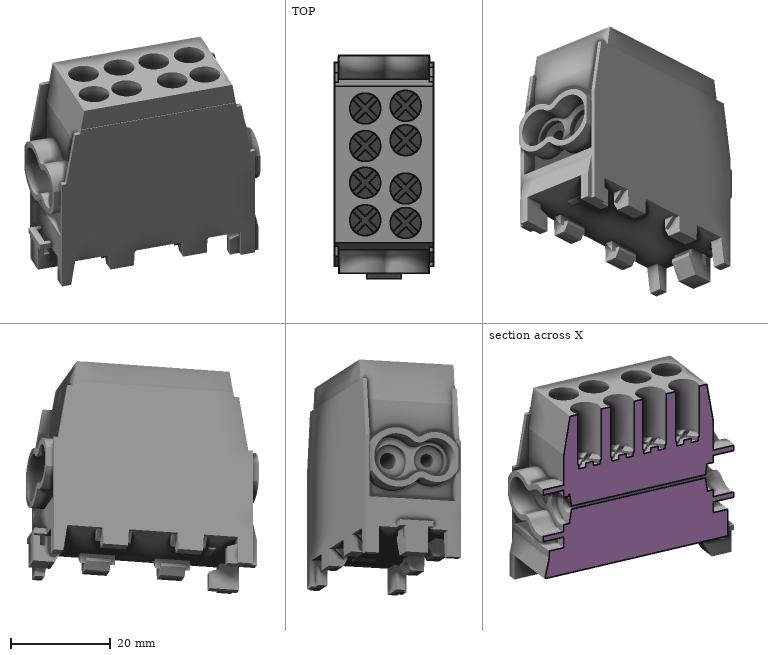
import cadquery as cq

width = 20.0
length = 41.05
half_width = width / 2
half_length = length / 2
height = 40.3
underside_z = 5.4

cap_half_width = 9.9
cap_top_half_length = 15.75
core_half_length = 17.15
core_shoulder_z = 32.0
cap_taper = (core_half_length - cap_top_half_length) / (height - core_shoulder_z)

recess_half_width = 9.1
recess_floor_z = 11.4
wall_top_z = 36.0
wall_top_half_length = 18.47
left_wall_inner_x = 9.15
left_wall_knee_z = 24.1
right_wall_knee_z = 23.9
right_wall_step_z = 35.05
right_wall_ledge = 0.95
right_wall_top_half_length = 17.65

collar_end = 21.95
collar_wall = 1.2
collar_blend = 1.1
large_x = -3.78
small_x = 4.35
large_collar_z = 19.5
small_collar_z = 19.95
large_collar_radius = 6.05
small_collar_radius = 5.12
large_bore_z = 19.85
small_bore_z = 20.4
large_bore_diameter = 3.35
small_bore_diameter = 2.75
large_cone_radius = 3.33
small_cone_radius = 2.95
large_mouth_radius = 3.4
small_mouth_radius = 3.25
large_mouth_z = 19.5
small_mouth_z = 20.05
mouth_end = 15.8
cone_depth = 0.35

well_radius = 3.1
well_depth = 11.25
well_columns = {
    large_x: (3.7, 11.25),
    small_x: (4.85, 11.78),
}
screw_slot_width = 1.1
screw_slot_depth = 0.9

foot_inner_x = 7.25
front_foot_root = 17.7
front_foot_tip = 18.55
rear_foot_inner = 17.5
flare_half_width = 9.15
flare_end = 21.55
flare_top_z = 9.75
hook_inner = 15.45
hook_outer_z = 4.23
hook_inner_z = 3.55

tooth_y = 7.75
tooth_root_half = 2.7
tooth_tip_half = 2.5
tooth_tip_z = 2.0
left_tooth_inner_x = 7.0
right_tooth_inner_x = 7.35
barb_reach = 0.95
barb_top_z = 4.23
barb_nose_z = 3.6
gusset_half = 3.6
gusset_z = 3.33

tongue_half_width = 2.3
tongue_end = 23.0
tongue_root = 17.35
tongue_hook = 16.6
tongue_hook_top_z = 4.23
tongue_hook_nose_z = 3.5
tongue_gap_end = 21.65
tongue_gap_z = 3.33
handle_half_width = 3.5
handle_top_z = 6.55
handle_arm = 1.0

bump_radius = 1.35
bump_y = 13.85
bump_z = 6.3


def box(x0, x1, y0, y1, z0, z1):
    return cq.Workplane("XY").box(x1 - x0, y1 - y0, z1 - z0, centered=False).translate((x0, y0, z0))


def side_profile(points, x0, x1):
    """Extrude a (y, z) outline from x0 to x1."""
    return cq.Workplane("YZ", origin=(x0, 0, 0)).polyline(points).close().extrude(x1 - x0)


def front_profile(points, y0, y1):
    """Extrude an (x, z) outline from y0 to y1."""
    return cq.Workplane("XZ", origin=(0, y0, 0)).polyline(points).close().extrude(y0 - y1)


def symmetric(points):
    """Complete a half outline with its mirror image across y = 0."""
    return points + [(-y, z) for y, z in reversed(points)]


def rod(x, z, radius, y0, y1):
    return cq.Workplane("XZ", origin=(x, y0, z)).circle(radius).extrude(y0 - y1)


def both_sides(shape):
    return shape.union(shape.mirror("YZ"))


def make_body():
    core = side_profile(
        symmetric([
            (core_half_length, underside_z),
            (core_half_length, core_shoulder_z),
            (cap_top_half_length, height),
        ]),
        -cap_half_width,
        cap_half_width,
    )
    base = box(-half_width, half_width, -half_length, half_length, underside_z, recess_floor_z)
    left_wall = side_profile(
        symmetric([
            (half_length, underside_z),
            (half_length, left_wall_knee_z),
            (wall_top_half_length, wall_top_z),
        ]),
        -half_width,
        -left_wall_inner_x,
    )
    right_wall = side_profile(
        symmetric([
            (half_length, underside_z),
            (half_length, right_wall_knee_z),
            (half_length - right_wall_ledge, right_wall_knee_z),
            (right_wall_top_half_length, right_wall_step_z),
            (cap_top_half_length + cap_taper * (height - right_wall_step_z), right_wall_step_z),
            (cap_top_half_length + cap_taper * (height - wall_top_z), wall_top_z),
        ]),
        recess_half_width,
        half_width,
    )
    return core.union(base).union(left_wall).union(right_wall)


def double_cylinder(inset, y0, y1):
    """Two joined cylinders along Y, with the creases between them rounded."""
    large = rod(large_x, large_collar_z, large_collar_radius - inset, y0, y1)
    small = rod(small_x, small_collar_z, small_collar_radius - inset, y0, y1)
    creases = cq.selectors.BoxSelector((large_x, y0, 0), (small_x, y1, height))
    return large.union(small).edges("|Y").edges(creases).fillet(collar_blend + inset)


def make_collars():
    sleeve = double_cylinder(0, -collar_end, collar_end)
    limits = box(-recess_half_width, recess_half_width, -collar_end, collar_end, recess_floor_z, height)
    return sleeve.intersect(limits)


def cut_bore(body, x, bore_z, bore_diameter, cone_radius, mouth_z, mouth_radius):
    """Cut a through bore with a shallow cone and a wide mouth at both ends."""
    bore_radius = bore_diameter / 2
    body = body.cut(rod(x, bore_z, bore_radius, -collar_end, collar_end))
    for side in (-1, 1):
        body = body.cut(rod(x, mouth_z, mouth_radius, side * mouth_end, side * collar_end))
        cone = cq.Solid.makeCone(
            cone_radius,
            bore_radius,
            cone_depth,
            cq.Vector(x, side * mouth_end, bore_z),
            cq.Vector(0, -side, 0),
        )
        body = body.cut(cq.Workplane(cone))
    return body


def cut_inlets(body):
    for y0, y1 in ((-collar_end, -core_half_length), (core_half_length, collar_end)):
        body = body.cut(double_cylinder(collar_wall, y0, y1))
    body = cut_bore(
        body, large_x, large_bore_z, large_bore_diameter, large_cone_radius, large_mouth_z, large_mouth_radius
    )
    return cut_bore(
        body, small_x, small_bore_z, small_bore_diameter, small_cone_radius, small_mouth_z, small_mouth_radius
    )


def cut_screw_wells(body):
    floor_z = height - well_depth
    for x, offsets in well_columns.items():
        for offset in offsets:
            for y in (-offset, offset):
                plane = cq.Workplane("XY", origin=(x, y, floor_z))
                body = body.cut(plane.circle(well_radius).extrude(well_depth))
                driver = plane.rect(2 * well_radius, screw_slot_width).extrude(-screw_slot_depth)
                driver = driver.union(driver.rotate((x, y, 0), (x, y, 1), 90))
                driver = driver.rotate((x, y, 0), (x, y, 1), 45)
                driver = driver.intersect(plane.circle(well_radius).extrude(-screw_slot_depth))
                body = body.cut(driver)
    return body


def make_front_feet():
    outline = [
        (-half_length, 0),
        (-front_foot_tip, 0),
        (-front_foot_root, underside_z),
        (-half_length, underside_z),
    ]
    return both_sides(side_profile(outline, foot_inner_x, half_width))


def make_rear_feet():
    leg = box(foot_inner_x, half_width, rear_foot_inner, half_length, 0, underside_z)
    flare = side_profile(
        [(half_length, 0), (flare_end, 0), (flare_end, underside_z), (half_length, flare_top_z)],
        0,
        flare_half_width,
    ).cut(box(0, foot_inner_x, half_length, flare_end, 0, underside_z))
    hook = side_profile(
        [(rear_foot_inner, 0), (hook_inner, 0), (hook_inner, hook_inner_z), (rear_foot_inner, hook_outer_z)],
        foot_inner_x,
        flare_half_width,
    )
    return both_sides(leg.union(flare).union(hook))


def make_tooth(y, inner_x):
    """Tooth under the right wall, with an inward barb and a wider gusset behind it."""
    tooth = side_profile(
        [
            (y - tooth_root_half, underside_z),
            (y - tooth_tip_half, tooth_tip_z),
            (y + tooth_tip_half, tooth_tip_z),
            (y + tooth_root_half, underside_z),
        ],
        inner_x,
        half_width,
    )
    barb = front_profile(
        [
            (inner_x, barb_top_z),
            (inner_x - barb_reach, barb_top_z),
            (inner_x - barb_reach, barb_nose_z),
            (inner_x, tooth_tip_z),
        ],
        y - tooth_tip_half,
        y + tooth_tip_half,
    )
    gusset = front_profile(
        [(inner_x, gusset_z), (inner_x, underside_z), (recess_half_width, underside_z)],
        y - gusset_half,
        y + gusset_half,
    )
    return tooth.union(barb).union(gusset)


def make_teeth():
    teeth = cq.Workplane()
    for y in (-tooth_y, tooth_y):
        teeth = teeth.union(make_tooth(y, right_tooth_inner_x))
        teeth = teeth.union(make_tooth(y, left_tooth_inner_x).mirror("YZ"))
    return teeth


def make_latch():
    tongue = side_profile(
        [
            (-tongue_end, 0),
            (-front_foot_tip, 0),
            (-tongue_hook, tongue_hook_nose_z),
            (-tongue_hook, tongue_hook_top_z),
            (-tongue_root, tongue_hook_top_z),
            (-tongue_root, underside_z),
            (-half_length, underside_z),
            (-half_length, tongue_gap_z),
            (-tongue_gap_end, tongue_gap_z),
            (-tongue_gap_end, underside_z),
            (-tongue_end, underside_z),
        ],
        -tongue_half_width,
        tongue_half_width,
    )
    handle = box(-handle_half_width, handle_half_width, -tongue_end, -half_length, underside_z, handle_top_z)
    notch_half_width = handle_half_width - handle_arm
    notch = box(
        -notch_half_width, notch_half_width, -tongue_gap_end, -half_length, underside_z, handle_top_z
    )
    return tongue.union(handle.cut(notch))


def make_bump():
    plane = cq.Workplane("YZ", origin=(-tongue_half_width, bump_y, bump_z))
    return plane.circle(bump_radius).extrude(2 * tongue_half_width)


body = cut_screw_wells(cut_inlets(make_body().union(make_collars())))
for detail in (make_front_feet(), make_rear_feet(), make_teeth(), make_latch(), make_bump()):
    body = body.union(detail)

result = body